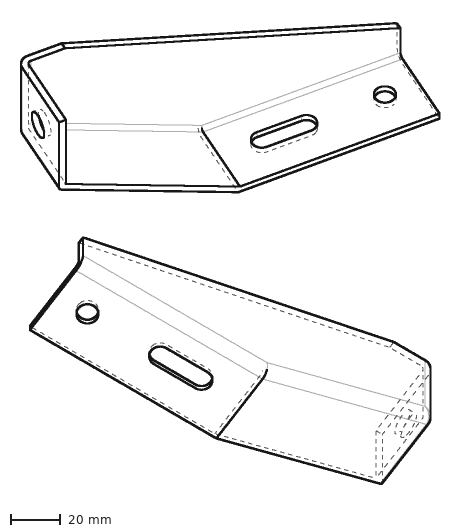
import cadquery as cq
import math

width = 38.0
length = 170.0
height = 80.0

thickness = 3.0
outer_bend = 5.0
inner_bend = outer_bend - thickness
front_corner_radius = 2.0

base_start = 80.0
front_bottom = 40.3
rear_height = 19.2
top_length = 20.0
rear_bevel_length = 1.0
rear_bevel_height = 0.7

hole_x = width / 2
front_hole_diameter = 11.0
front_hole_z = 60.0
base_hole_diameter = 8.8
base_hole_y = 155.0
slot_y = 110.0
slot_length = 28.7

margin = 1.7

slope_angle = math.atan2(front_bottom, base_start)


def extrude_profile(points, start_x, end_x):
    """Extrude a closed (Y, Z) outline between two X positions."""
    return cq.Workplane("YZ", origin=(start_x, 0, 0)).polyline(points).close().extrude(end_x - start_x)


def make_outer_body():
    """Solid envelope with rounded bends along the side wall and below the front flange."""
    body = extrude_profile(
        [
            (0, height),
            (0, front_bottom),
            (base_start, 0),
            (length, 0),
            (length, rear_height),
            (length - rear_bevel_length, rear_height + rear_bevel_height),
            (top_length, height),
        ],
        0,
        width,
    )
    front_bend = cq.selectors.BoxSelector((-margin, -margin, front_bottom), (margin, margin, height))
    slope_bend = cq.selectors.BoxSelector((-margin, 0, 0), (margin, base_start, front_bottom))
    base_bend = cq.selectors.BoxSelector((-margin, base_start, -margin), (margin, length, margin))
    bends = front_bend + slope_bend + base_bend
    body = body.edges(bends).fillet(outer_bend)
    corner = cq.selectors.BoxSelector(
        (width / 4, -margin, front_bottom - margin),
        (width, margin, front_bottom + margin),
    )
    return body.edges(corner).fillet(front_corner_radius)


def make_inner_space():
    """Space inside the flanges, one sheet thickness in from the outer faces."""
    base_bend_y = base_start + thickness * math.tan(slope_angle / 2)
    front_bend_z = thickness + (base_bend_y - thickness) * math.tan(slope_angle)
    space = extrude_profile(
        [
            (thickness, 2 * height),
            (thickness, front_bend_z),
            (base_bend_y, thickness),
            (2 * length, thickness),
            (2 * length, 2 * height),
        ],
        thickness,
        2 * width,
    )
    wall_edges = space.faces("<X").edges("not(>Y or >Z)")
    return wall_edges.fillet(inner_bend)


def make_front_hole():
    """Through hole in the front flange."""
    hole = cq.Workplane("XZ", origin=(hole_x, 0, front_hole_z)).circle(front_hole_diameter / 2)
    return hole.extrude(-2 * thickness)


def make_base_openings():
    """Round hole and lengthwise slot through the base flange."""
    hole = cq.Workplane("XY").center(hole_x, base_hole_y).circle(base_hole_diameter / 2)
    slot = cq.Workplane("XY").center(hole_x, slot_y).slot2D(slot_length, base_hole_diameter, 90)
    return hole.extrude(2 * thickness).union(slot.extrude(2 * thickness))


result = make_outer_body().cut(make_inner_space()).cut(make_front_hole()).cut(make_base_openings())